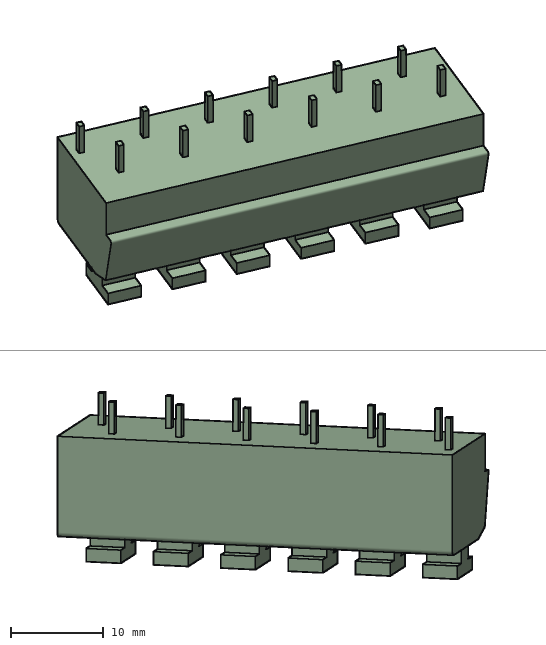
import cadquery as cq
import math

length = 44.0
width = 15.0
top_width = 13.6
body_height = 11.05
total_height = 18.1
catch_top = 6.9
knee_height = 0.9
catch_slope = math.radians(15)
tip_radius = 0.25
flat_end = 10.75
edge_radius = 0.55

pole_count = 6
pole_span = 37.5
pole_pitch = pole_span / (pole_count - 1)
first_foot_y = 2.9

foot_center_x = 8.75
foot_length = 3.85
foot_height = 3.55
flange_width = 6.15
flange_height = 1.45
stem_width = 2.9

pin_width = 0.85
pin_thickness = 0.6
pin_row_count = 2
pin_row_spacing = 5.0
pin_stagger = 2.5
first_row_x = 3.35
first_pin_y = 1.28
pin_height = total_height - foot_height - body_height

body_base = foot_height
body_top = body_base + body_height

tip_turn = math.pi / 2 + catch_slope
catch_corner_x = width - tip_radius + tip_radius * math.tan(tip_turn / 2)
knee_x = catch_corner_x - (catch_top - knee_height) * math.tan(catch_slope)


def block(size, center_x, center_y, base_z):
    """Upright box centred in X and Y and standing on base_z."""
    return cq.Workplane().box(*size, centered=(True, True, False)).translate((center_x, center_y, base_z))


def make_housing():
    profile = [
        (0, body_base),
        (flat_end, body_base),
        (knee_x, body_base + knee_height),
        (catch_corner_x, body_base + catch_top),
        (top_width, body_base + catch_top),
        (top_width, body_top),
        (0, body_top),
    ]
    housing = cq.Workplane("XZ").polyline(profile).close().extrude(-length)
    lower_edge = cq.selectors.NearestToPointSelector((0, length / 2, body_base))
    tip_edge = cq.selectors.NearestToPointSelector((catch_corner_x, length / 2, body_base + catch_top))
    return housing.edges(lower_edge).fillet(edge_radius).edges(tip_edge).fillet(tip_radius)


def make_foot(center_y):
    flange = block((flange_width, foot_length, flange_height), foot_center_x, center_y, 0)
    stem = block((stem_width, foot_length, foot_height), foot_center_x, center_y, 0)
    return flange.union(stem)


def make_pin(center_x, center_y):
    return block((pin_width, pin_thickness, pin_height), center_x, center_y, body_top)


result = make_housing()
for pole in range(pole_count):
    pole_offset = pole * pole_pitch
    result = result.union(make_foot(first_foot_y + pole_offset))
    for row in range(pin_row_count):
        pin_x = first_row_x + row * pin_row_spacing
        pin_y = first_pin_y + row * pin_stagger + pole_offset
        result = result.union(make_pin(pin_x, pin_y))